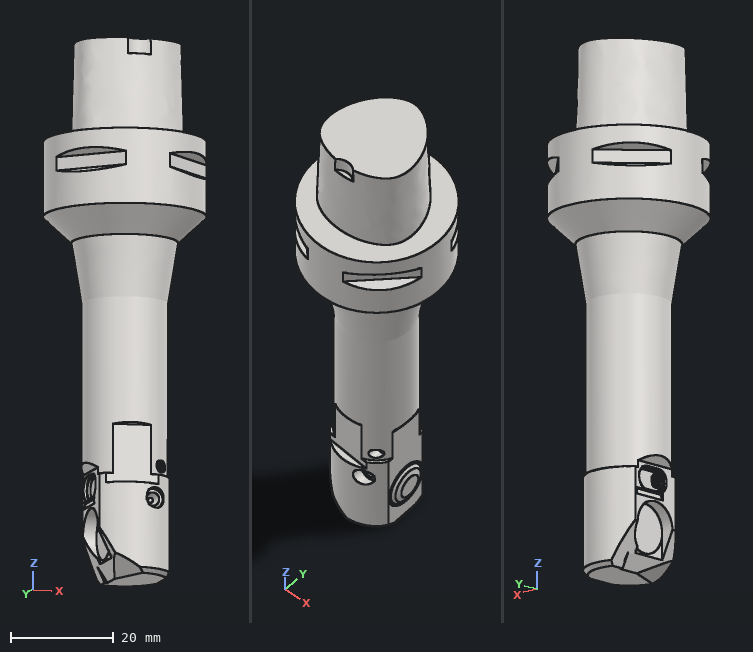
import cadquery as cq
import math

TOTAL_HEIGHT = 105.5
FLANGE_TOP = 86.5
FLANGE_BOTTOM = 71.6
NECK_TOP = 66.5
NECK_BOTTOM = 54.4
HEAD_TOP = 19.6

FLANGE_DIAMETER = 32.0
NECK_DIAMETER = 20.9
BAR_DIAMETER = 17.0
HEAD_DIAMETER = 18.1
HEAD_CHAMFER = 1.0
HEAD_OFFSET_Y = -0.16
FLANGE_RADIUS = FLANGE_DIAMETER / 2
BAR_RADIUS = BAR_DIAMETER / 2
HEAD_RADIUS = HEAD_DIAMETER / 2

COUPLING_BASE_RADIUS = 11.1
COUPLING_TOP_RADIUS = 10.5
LOBE_HEIGHT = 0.7
LOBE_SAMPLES = 48
KEYWAY_RADIUS = 3.3
KEYWAY_FLOOR_Y = -8.8
KEYWAY_DEPTH = 3.2

GROOVE_COUNT = 4
GROOVE_Z = 80.6
GROOVE_FLOOR_DISTANCE = 14.0
GROOVE_FLOOR_WIDTH = 2.6
GROOVE_FLARE_ANGLE = 27.0

LEFT_FLAT_X = -7.0
LEFT_FLAT_TOP = 21.0
RIGHT_FLAT_X = 7.5
RIGHT_FLAT_TOP = 27.2
FRONT_FLAT_DISTANCE = 7.6
FRONT_FLAT_ANGLE = 6.5
FRONT_FLAT_BOTTOM = 17.7
FRONT_FLAT_TOP = 29.3
FRONT_FLAT_FLARE_ANGLE = 20.0

SLANT_TOP = 8.9
SLANT_TIP_X = -2.6

PLUG_DIAMETER = 10.0
PLUG_Z = 8.7
PLUG_FACE_X = -4.2
DOME_BASE_RADIUS = 4.5
DOME_SHOULDER_RADIUS = 3.8
DOME_SHOULDER_HEIGHT = 0.58
DOME_TOP_RADIUS = 2.5
DOME_HEIGHT = BAR_RADIUS - RIGHT_FLAT_X
PLUG_RADIUS = PLUG_DIAMETER / 2

SLOT_BACK_Y = 2.6
SLOT_BOTTOM = 3.2
TIP_STEP_BACK_Y = 4.6
TIP_STEP_X = -2.1
TIP_CORNER_X = 1.4
TIP_CORNER_Y = -8.7
TIP_RIDGE_Y = -6.5

WINDOW_Y = 0.6
WINDOW_Z = 17.9
WINDOW_LENGTH = 7.9
WINDOW_WIDTH = 4.9
WINDOW_DEPTH = 1.3
WINDOW_RIM = 0.4
RAMP_BACK_Y = 5.2
RAMP_FRONT_Y = -2.2
RAMP_BOTTOM = 14.2
WINDOW_HOLE_Y = -1.7
WINDOW_HOLE_Z = 18.3
WINDOW_HOLE_DIAMETERS = (2.6, 2.0, 1.6, 1.0)

SCREW_X = 3.7
SCREW_Z = 15.0
SCREW_BORE_DIAMETER = 4.0
SCREW_BORE_FLOOR_Y = -6.5
SOCKET_DIAMETER = 2.6
SOCKET_DEPTH = 1.6
SOCKET_TIP_DIAMETER = 1.0
COOLANT_X = 5.4
COOLANT_Z = 21.5
COOLANT_DIAMETERS = (2.3, 1.6, 1.0)
COOLANT_STEP_Y = -5.3

HOLE_STEP = 0.5

REACH = 21.1
MARGIN = 1.1


def box(x_range, y_range, z_range):
    """Box between two limits along each axis."""
    size = [high - low for low, high in (x_range, y_range, z_range)]
    corner = cq.Vector(x_range[0], y_range[0], z_range[0])
    return cq.Workplane(cq.Solid.makeBox(*size, corner))


def cylinder(diameter, start, direction, length):
    """Round tool that starts at a point and runs along a direction."""
    return cq.Workplane(cq.Solid.makeCylinder(diameter / 2, length, cq.Vector(*start), cq.Vector(*direction)))


def cut_stepped_hole(body, diameters, start, direction):
    """Blind hole whose diameter drops at equal steps."""
    for index, diameter in enumerate(diameters):
        body = body.cut(cylinder(diameter, start, direction, HOLE_STEP * (index + 1)))
    return body


def coupling_outline(mean_radius):
    """Points of a three-lobed curve with one lobe toward +Y."""
    points = []
    for step in range(LOBE_SAMPLES):
        angle = 2 * math.pi * step / LOBE_SAMPLES
        x = mean_radius * math.cos(angle) + LOBE_HEIGHT * (2 * math.cos(2 * angle) - math.cos(4 * angle))
        y = mean_radius * math.sin(angle) - LOBE_HEIGHT * (2 * math.sin(2 * angle) + math.sin(4 * angle))
        points.append((-y, x))
    return points


def make_coupling():
    height = TOTAL_HEIGHT - FLANGE_TOP
    coupling = (
        cq.Workplane("XY", origin=(0, 0, FLANGE_TOP))
        .spline(coupling_outline(COUPLING_BASE_RADIUS), periodic=True).close()
        .workplane(offset=height)
        .spline(coupling_outline(COUPLING_TOP_RADIUS), periodic=True).close()
        .loft(ruled=True)
    )
    keyway_start = (0, KEYWAY_FLOOR_Y - KEYWAY_RADIUS, TOTAL_HEIGHT - KEYWAY_DEPTH)
    keyway = cylinder(2 * KEYWAY_RADIUS, keyway_start, (0, 0, 1), KEYWAY_DEPTH)
    return coupling.cut(keyway)


def make_turned_body():
    """Flange, cone, neck and bar as one revolved shape."""
    return (
        cq.Workplane("XZ")
        .moveTo(0, 0)
        .lineTo(BAR_RADIUS - HEAD_CHAMFER, 0)
        .lineTo(BAR_RADIUS, HEAD_CHAMFER)
        .lineTo(BAR_RADIUS, NECK_BOTTOM)
        .lineTo(NECK_DIAMETER / 2, NECK_TOP)
        .lineTo(FLANGE_RADIUS, FLANGE_BOTTOM)
        .lineTo(FLANGE_RADIUS, FLANGE_TOP)
        .lineTo(0, FLANGE_TOP)
        .close()
        .revolve(360, (0, 0, 0), (0, 1, 0))
    )


def make_head():
    """Slightly wider end of the bar, set a little off the tool axis."""
    head = cylinder(HEAD_DIAMETER, (0, HEAD_OFFSET_Y, 0), (0, 0, 1), HEAD_TOP)
    return head.faces("<Z").chamfer(HEAD_CHAMFER)


def cut_grooves(body):
    """Trapezoidal grooves, halfway between the X and Y axes."""
    depth = FLANGE_RADIUS - GROOVE_FLOOR_DISTANCE + MARGIN
    floor_half = GROOVE_FLOOR_WIDTH / 2
    mouth_half = floor_half + depth * math.tan(math.radians(GROOVE_FLARE_ANGLE))
    mouth = GROOVE_FLOOR_DISTANCE + depth
    groove = (
        cq.Workplane("XZ")
        .polyline([
            (GROOVE_FLOOR_DISTANCE, GROOVE_Z - floor_half),
            (mouth, GROOVE_Z - mouth_half),
            (mouth, GROOVE_Z + mouth_half),
            (GROOVE_FLOOR_DISTANCE, GROOVE_Z + floor_half),
        ])
        .close()
        .extrude(REACH / 2, both=True)
    )
    for index in range(GROOVE_COUNT):
        angle = 360 / GROOVE_COUNT * (index + 0.5)
        body = body.cut(groove.rotate((0, 0, 0), (0, 0, 1), angle))
    return body


def cut_side_flats(body):
    """Flats on the -X and +X sides, each ending in a 45 degree ramp."""
    left = [
        (LEFT_FLAT_X, 0),
        (LEFT_FLAT_X, LEFT_FLAT_TOP),
        (LEFT_FLAT_X - REACH, LEFT_FLAT_TOP + REACH),
        (LEFT_FLAT_X - REACH, 0),
    ]
    right = [
        (RIGHT_FLAT_X, 0),
        (RIGHT_FLAT_X, RIGHT_FLAT_TOP),
        (RIGHT_FLAT_X + REACH, RIGHT_FLAT_TOP + REACH),
        (RIGHT_FLAT_X + REACH, 0),
    ]
    for outline in (left, right):
        body = body.cut(cq.Workplane("XZ").polyline(outline).close().extrude(REACH, both=True))
    return body


def cut_front_flat(body):
    """Flat on the -Y side, turned slightly toward -X, with a sloping upper wall."""
    depth = HEAD_RADIUS - FRONT_FLAT_DISTANCE + MARGIN
    flare = depth * math.tan(math.radians(FRONT_FLAT_FLARE_ANGLE))
    mouth = -FRONT_FLAT_DISTANCE - depth
    flat = (
        cq.Workplane("YZ")
        .polyline([
            (-FRONT_FLAT_DISTANCE, FRONT_FLAT_BOTTOM),
            (mouth, FRONT_FLAT_BOTTOM),
            (mouth, FRONT_FLAT_TOP + flare),
            (-FRONT_FLAT_DISTANCE, FRONT_FLAT_TOP),
        ])
        .close()
        .extrude(REACH, both=True)
    )
    return body.cut(flat.rotate((0, 0, 0), (0, 0, 1), -FRONT_FLAT_ANGLE))


def cut_tip(body):
    """Slanting relief, with a deeper step and a corner facet below the chip slot."""
    outside = LEFT_FLAT_X - MARGIN
    slant = [(LEFT_FLAT_X, SLANT_TOP), (SLANT_TIP_X, 0), (outside, 0), (outside, SLANT_TOP)]
    body = body.cut(cq.Workplane("XZ").polyline(slant).close().extrude(REACH, both=True))

    step = [(PLUG_FACE_X, SLOT_BOTTOM), (TIP_STEP_X, 0), (LEFT_FLAT_X, 0), (LEFT_FLAT_X, SLOT_BOTTOM)]
    step_tool = cq.Workplane("XZ", origin=(0, TIP_STEP_BACK_Y, 0)).polyline(step).close().extrude(REACH)
    body = body.cut(step_tool)

    ridge_foot = cq.Vector(TIP_STEP_X, 0, 0)
    ridge_top = cq.Vector(PLUG_FACE_X, TIP_RIDGE_Y, SLOT_BOTTOM)
    corner = cq.Vector(TIP_CORNER_X, TIP_CORNER_Y, 0)
    along = ridge_top - ridge_foot
    outward = along.cross(corner - ridge_foot)
    if outward.z > 0:
        outward = outward * -1
    facet = cq.Plane(origin=ridge_foot.toTuple(), xDir=along.toTuple(), normal=outward.toTuple())
    return body.cut(cq.Workplane(facet).rect(2 * REACH, 2 * REACH).extrude(REACH / 2))


def cut_plug_seat(body):
    """Round bore through the head, with a chip slot running down from its outer part."""
    bore = cylinder(PLUG_DIAMETER, (-REACH, 0, PLUG_Z), (1, 0, 0), 2 * REACH)
    slot = box((-REACH, PLUG_FACE_X), (-PLUG_RADIUS, SLOT_BACK_Y), (SLOT_BOTTOM, PLUG_Z))
    return body.cut(bore).cut(slot)


def cut_window(body):
    """Stepped obround window with a ramp below it and a stepped hole in its floor."""
    floor_x = LEFT_FLAT_X + WINDOW_DEPTH
    mouth = cq.Workplane("YZ", origin=(LEFT_FLAT_X, WINDOW_Y, WINDOW_Z))
    rim = mouth.slot2D(WINDOW_LENGTH, WINDOW_WIDTH).extrude(WINDOW_DEPTH / 2)
    inner = mouth.slot2D(WINDOW_LENGTH - 2 * WINDOW_RIM, WINDOW_WIDTH - 2 * WINDOW_RIM).extrude(WINDOW_DEPTH)
    ramp_top = WINDOW_Z - WINDOW_WIDTH / 2
    ramp_top_x = LEFT_FLAT_X + WINDOW_DEPTH / 2
    ramp = (
        cq.Workplane("XZ", origin=(0, RAMP_BACK_Y, 0))
        .polyline([(LEFT_FLAT_X, RAMP_BOTTOM), (ramp_top_x, ramp_top), (LEFT_FLAT_X, ramp_top)])
        .close()
        .extrude(RAMP_BACK_Y - RAMP_FRONT_Y)
    )
    hole_start = (floor_x, WINDOW_HOLE_Y, WINDOW_HOLE_Z)
    body = body.cut(rim).cut(inner).cut(ramp)
    return cut_stepped_hole(body, WINDOW_HOLE_DIAMETERS, hole_start, (1, 0, 0))


def cut_front_holes(body):
    """Screw bore with a tapered socket, and a stepped coolant hole, both along Y."""
    bore = cylinder(SCREW_BORE_DIAMETER, (SCREW_X, SCREW_BORE_FLOOR_Y, SCREW_Z), (0, -1, 0), REACH)
    socket = cq.Workplane(cq.Solid.makeCone(
        SOCKET_DIAMETER / 2,
        SOCKET_TIP_DIAMETER / 2,
        SOCKET_DEPTH,
        cq.Vector(SCREW_X, SCREW_BORE_FLOOR_Y, SCREW_Z),
        cq.Vector(0, 1, 0),
    ))
    coolant_start = (COOLANT_X, COOLANT_STEP_Y, COOLANT_Z)
    coolant_mouth = cylinder(COOLANT_DIAMETERS[0], coolant_start, (0, -1, 0), REACH)
    body = body.cut(bore).cut(socket).cut(coolant_mouth)
    return cut_stepped_hole(body, COOLANT_DIAMETERS, coolant_start, (0, 1, 0))


def make_holder():
    holder = make_turned_body().union(make_head()).union(make_coupling())
    holder = cut_grooves(holder)
    holder = cut_side_flats(holder)
    holder = cut_front_flat(holder)
    holder = cut_tip(holder)
    holder = cut_plug_seat(holder)
    holder = cut_window(holder)
    return cut_front_holes(holder)


def make_plug():
    """Round plug along X that fills the bore and ends in a low dome on the +X side."""
    return (
        cq.Workplane("XY")
        .moveTo(PLUG_FACE_X, 0)
        .lineTo(PLUG_FACE_X, PLUG_RADIUS)
        .lineTo(RIGHT_FLAT_X, PLUG_RADIUS)
        .lineTo(RIGHT_FLAT_X, DOME_BASE_RADIUS)
        .lineTo(RIGHT_FLAT_X + DOME_SHOULDER_HEIGHT, DOME_SHOULDER_RADIUS)
        .lineTo(RIGHT_FLAT_X + DOME_HEIGHT, DOME_TOP_RADIUS)
        .lineTo(RIGHT_FLAT_X + DOME_HEIGHT, 0)
        .close()
        .revolve(360, (0, 0, 0), (1, 0, 0))
        .translate((0, 0, PLUG_Z))
    )


holder = make_holder()
plug = make_plug()

result = cq.Compound.makeCompound([holder.val(), plug.val()])